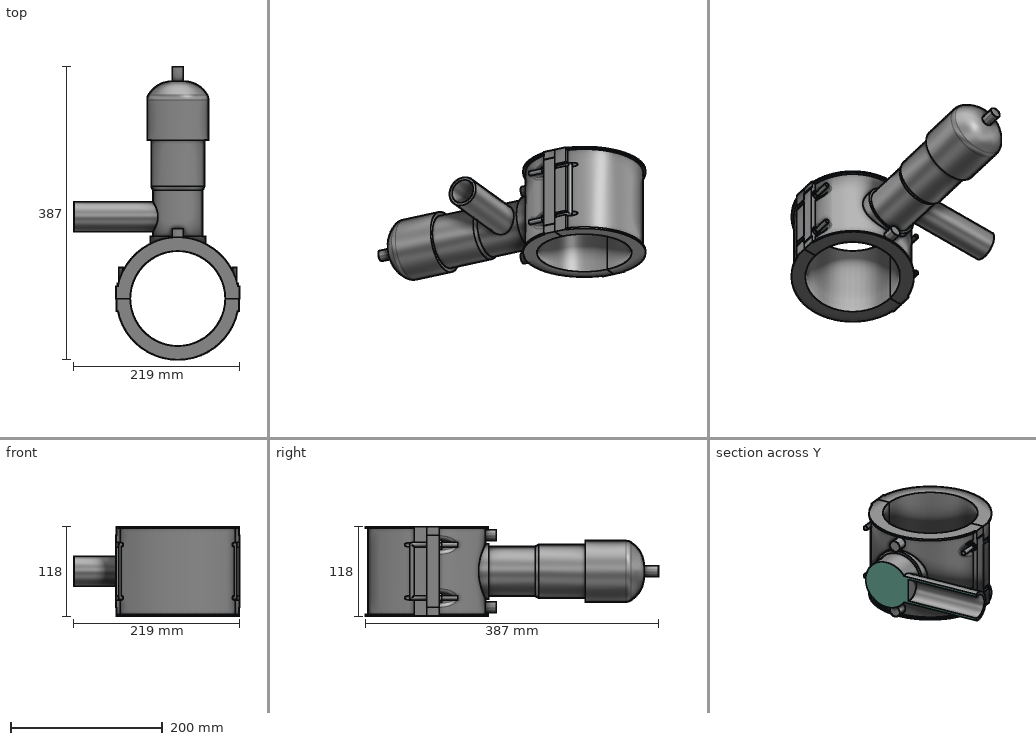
import cadquery as cq
import math


clamp_height = 118.0
bore_radius = 62.5
lip_radius = 81.0
ring_radius = 77.7
lip_thickness = 2.5

flange_reach = lip_radius
flange_thickness = 16.5
pad_thickness = 1.0
pad_height = 95.0

bolt_diameter = 6.0
bolt_x = 75.0
bolt_leg_z = 35.0
bolt_end_y = 41.0
bolt_bridge_y = -(flange_thickness + bolt_diameter / 2)
nut_width = 10.0
nut_height = 3.5
nut_recess_diameter = 15.0
nut_recess_rounding = 6.0
nut_rim_y = flange_thickness + 1.0
recess_end_y = 60.0
bolt_groove_end_y = -40.0

collar_radius = 73.2 / 2
body_radius = 65.88 / 2
sleeve_radius = 70.76 / 2
cap_radius = 81.33 / 2
spigot_radius = 14.64 / 2
collar_top_y = 82.0
sleeve_start_y = 143.0
sleeve_full_y = sleeve_start_y + 2 * (sleeve_radius - body_radius)
cap_start_y = 209.0
dome_top_y = 287.0
dome_radius = collar_radius
knuckle_radius = 13.0
spigot_end_y = 305.97

outlet_diameter = 40.0
outlet_bore = 32.0
outlet_y = 108.0
outlet_end_x = -137.0

stud_diameter = 15.0
stud_z = 47.5
stud_top_y = 92.0


def y_cylinder(diameter, start_y, end_y, x=0.0, z=0.0):
    """Cylinder along +Y from start_y to end_y."""
    plane = cq.Plane(origin=(x, start_y, z), xDir=(1, 0, 0), normal=(0, 1, 0))
    return cq.Workplane(plane).circle(diameter / 2).extrude(end_y - start_y)


def block(x0, x1, y0, y1, height):
    """Box between two X and two Y positions, centred on Z = 0."""
    centre = ((x0 + x1) / 2, (y0 + y1) / 2, 0)
    return cq.Workplane("XY").box(x1 - x0, y1 - y0, height).translate(centre)


def z_cylinder(radius, height):
    """Cylinder along Z, centred on the origin."""
    return cq.Workplane("XY").circle(radius).extrude(height).translate((0, 0, -height / 2))


def half_clamp_blank(side):
    """Solid half of the clamp with its rims and flanges; side is +1 for +Y, -1 for -Y."""
    blank = z_cylinder(lip_radius, clamp_height)
    waist_height = clamp_height - 2 * lip_thickness
    waist = z_cylinder(2 * lip_radius, waist_height).cut(z_cylinder(ring_radius, waist_height))
    blank = blank.cut(waist)
    blank = blank.union(block(-flange_reach, flange_reach, -flange_thickness, flange_thickness, clamp_height))
    far_y = side * 2 * lip_radius
    half_space = block(-2 * lip_radius, 2 * lip_radius, min(0, far_y), max(0, far_y), clamp_height)
    return blank.intersect(half_space)


def u_bolt(side):
    """U-bolt with two legs along Y joined by a bridge along Z; side is the sign of X."""
    x = side * bolt_x
    bridge = cq.Workplane("XY").center(x, bolt_bridge_y).circle(bolt_diameter / 2)
    bolt = bridge.extrude(bolt_leg_z, both=True)
    for z in (-bolt_leg_z, bolt_leg_z):
        bolt = bolt.union(y_cylinder(bolt_diameter, bolt_bridge_y, bolt_end_y, x, z))
        bolt = bolt.union(cq.Workplane("XY").sphere(bolt_diameter / 2).translate((x, bolt_bridge_y, z)))
    return bolt


def nut(x, z):
    """Hexagon nut on the flange, with corners towards +Z and -Z."""
    plane = cq.Plane(origin=(x, flange_thickness, z), xDir=(0, 0, 1), normal=(0, 1, 0))
    corner_diameter = nut_width / math.cos(math.pi / 6)
    return cq.Workplane(plane).polygon(6, corner_diameter).extrude(nut_height)


def nut_recess(blank, x, z):
    """Cut the clearance for a nut into the ring and round its edge on the ring wall."""
    recess = y_cylinder(nut_recess_diameter, flange_thickness, recess_end_y, x, z)
    blank = blank.cut(recess)
    rim_zone = cq.selectors.BoxSelector(
        (x - nut_recess_diameter, nut_rim_y, z - nut_recess_diameter),
        (x + nut_recess_diameter, recess_end_y, z + nut_recess_diameter),
    )
    return blank.edges(rim_zone).fillet(nut_recess_rounding)


def tower():
    """Revolved tapping tower, from the clamp axis out to the spigot."""
    dome_x = spigot_radius
    dome_y = dome_top_y - dome_radius
    knuckle_x = cap_radius - knuckle_radius
    knuckle_angle = math.acos((knuckle_x - dome_x) / (dome_radius - knuckle_radius))
    knuckle_y = dome_y + (dome_radius - knuckle_radius) * math.sin(knuckle_angle)
    dome_mid_angle = (knuckle_angle + math.pi / 2) / 2

    def on_dome(angle):
        return dome_x + dome_radius * math.cos(angle), dome_y + dome_radius * math.sin(angle)

    def on_knuckle(angle):
        return knuckle_x + knuckle_radius * math.cos(angle), knuckle_y + knuckle_radius * math.sin(angle)

    profile = (
        cq.Workplane("XY")
        .lineTo(collar_radius, 0)
        .lineTo(collar_radius, collar_top_y)
        .lineTo(body_radius, collar_top_y)
        .lineTo(body_radius, sleeve_start_y)
        .lineTo(sleeve_radius, sleeve_full_y)
        .lineTo(sleeve_radius, cap_start_y)
        .lineTo(cap_radius, cap_start_y)
        .lineTo(cap_radius, knuckle_y)
        .threePointArc(on_knuckle(knuckle_angle / 2), on_knuckle(knuckle_angle))
        .threePointArc(on_dome(dome_mid_angle), (spigot_radius, dome_top_y))
        .lineTo(spigot_radius, spigot_end_y)
        .lineTo(0, spigot_end_y)
        .close()
    )
    return profile.revolve(360, (0, 0, 0), (0, 1, 0))


def side_outlet(diameter, inner_x):
    """Cylinder along X from inner_x out to the outlet mouth."""
    plane = cq.Plane(origin=(inner_x, outlet_y, 0), xDir=(0, 1, 0), normal=(-1, 0, 0))
    return cq.Workplane(plane).circle(diameter / 2).extrude(inner_x - outlet_end_x)


bore = z_cylinder(bore_radius, clamp_height)

tapping_half = half_clamp_blank(1)
for bolt_side in (-1, 1):
    for leg_z in (-bolt_leg_z, bolt_leg_z):
        tapping_half = nut_recess(tapping_half, bolt_side * bolt_x, leg_z)
pad_reach = flange_reach + pad_thickness
pad_bridge = block(-pad_reach, pad_reach, 0, flange_thickness, pad_height)
tapping_half = tapping_half.union(pad_bridge)
tapping_half = tapping_half.union(tower())
for z in (-stud_z, stud_z):
    tapping_half = tapping_half.union(y_cylinder(stud_diameter, bore_radius, stud_top_y, 0, z))
tapping_half = tapping_half.union(side_outlet(outlet_diameter, 0))
tapping_half = tapping_half.cut(side_outlet(outlet_bore, -body_radius))
tapping_half = tapping_half.cut(bore)
for bolt_side in (-1, 1):
    tapping_half = tapping_half.union(u_bolt(bolt_side))
    for leg_z in (-bolt_leg_z, bolt_leg_z):
        tapping_half = tapping_half.union(nut(bolt_side * bolt_x, leg_z))

plain_half = half_clamp_blank(-1).cut(bore)
for bolt_side in (-1, 1):
    plain_half = plain_half.cut(u_bolt(bolt_side))
    inner_x = bolt_side * bolt_x
    outer_x = bolt_side * 2 * flange_reach
    slot = block(min(inner_x, outer_x), max(inner_x, outer_x), bolt_bridge_y, 0, bolt_diameter)
    for leg_z in (-bolt_leg_z, bolt_leg_z):
        plain_half = plain_half.cut(slot.translate((0, 0, leg_z)))
        plain_half = plain_half.cut(y_cylinder(bolt_diameter, bolt_groove_end_y, 0, inner_x, leg_z))

result = cq.Compound.makeCompound([tapping_half.solids().val(), plain_half.solids().val()])